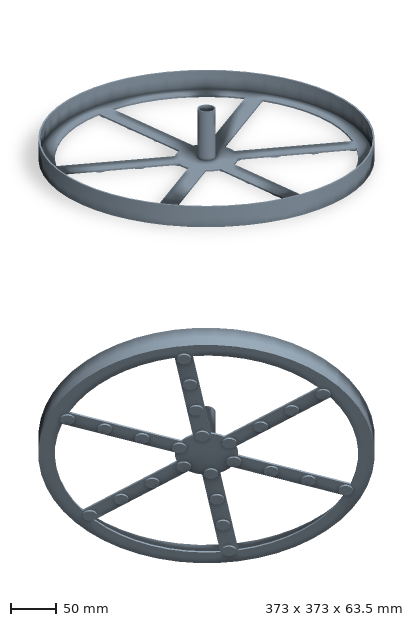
import cadquery as cq

overall_height = 63.5
rim_diameter = 373.0
rim_wall = 2.0
rim_height = 25.0
plate_thickness = 2.0
ring_opening_diameter = 336.5
hub_diameter = 70.0
spoke_count = 6
spoke_width = 20.0
tube_diameter = 20.0
tube_wall = 1.0
seam_gap = 0.1
rim_seam_angle = 180.0
tube_seam_angle = -60.0
pad_diameter = 16.0
pad_thickness = 2.0
pads_per_spoke = 4
first_pad_radius = 32.5
pad_spacing = 44.5

plate_bottom = pad_thickness
plate_top = plate_bottom + plate_thickness

wheel_diameter = rim_diameter - 2 * rim_wall
spoke_angles = [i * 360.0 / spoke_count for i in range(spoke_count)]


def disc(diameter, bottom, height):
    return cq.Workplane("XY").workplane(offset=bottom).circle(diameter / 2).extrude(height)


def pipe(diameter, wall, bottom, height):
    bore = disc(diameter - 2 * wall, bottom, height)
    return disc(diameter, bottom, height).cut(bore)


def rolled_pipe(diameter, wall, bottom, height, seam_angle):
    """Pipe rolled from sheet, with a narrow open seam along its full height."""
    seam_length = 4 * wall
    seam = (
        cq.Workplane("XY")
        .workplane(offset=bottom)
        .center(diameter / 2, 0)
        .rect(seam_length, seam_gap)
        .extrude(height)
        .rotate((0, 0, 0), (0, 0, 1), seam_angle)
    )
    return pipe(diameter, wall, bottom, height).cut(seam)


def spoke(angle):
    """Flat bar from the wheel axis to the middle of the outer ring."""
    length = (wheel_diameter + ring_opening_diameter) / 4
    bar = (
        cq.Workplane("XY")
        .workplane(offset=plate_bottom)
        .center(length / 2, 0)
        .rect(length, spoke_width)
        .extrude(plate_thickness)
    )
    return bar.rotate((0, 0, 0), (0, 0, 1), angle)


def spoke_pads(angle):
    """Row of round pads under one spoke."""
    centers = [(first_pad_radius + i * pad_spacing, 0) for i in range(pads_per_spoke)]
    pads = cq.Workplane("XY").pushPoints(centers).circle(pad_diameter / 2).extrude(pad_thickness)
    return pads.rotate((0, 0, 0), (0, 0, 1), angle)


ring_width = (wheel_diameter - ring_opening_diameter) / 2
wheel = pipe(wheel_diameter, ring_width, plate_bottom, plate_thickness)
wheel = wheel.union(disc(hub_diameter, plate_bottom, plate_thickness))
for spoke_angle in spoke_angles:
    wheel = wheel.union(spoke(spoke_angle))
    wheel = wheel.union(spoke_pads(spoke_angle))

rim = rolled_pipe(rim_diameter, rim_wall, plate_bottom, rim_height, rim_seam_angle)

tube = rolled_pipe(tube_diameter, tube_wall, plate_top, overall_height - plate_top, tube_seam_angle)

result = wheel.union(rim).union(tube)